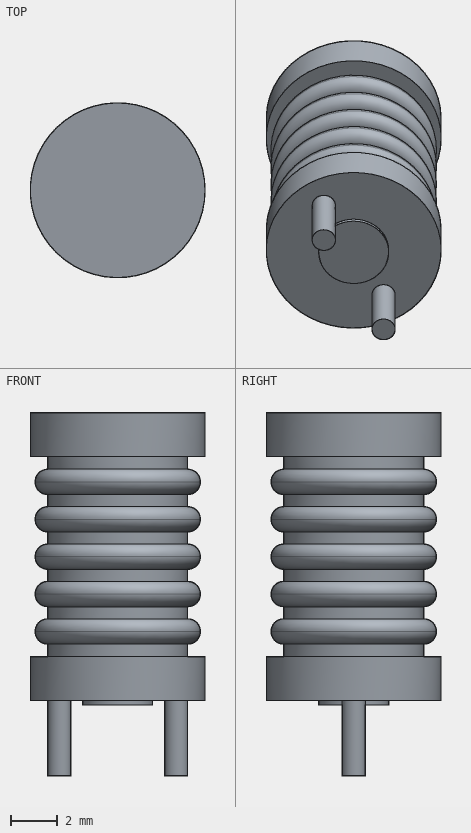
import cadquery as cq

total_height = 15.55
flange_diameter = 7.5
flange_thickness = 1.88
core_diameter = 6.0
pin_diameter = 1.0
pin_length = 3.22
pin_spacing = 5.0
standoff_diameter = 3.0
standoff_height = 0.19
turn_count = 5
turn_pitch = 1.6
wire_diameter = 1.09

base_z = pin_length
core_bottom_z = base_z + flange_thickness
core_top_z = total_height - flange_thickness
core_middle_z = (core_bottom_z + core_top_z) / 2


def cylinder(diameter, bottom_z, top_z, x=0):
    """Vertical cylinder between two heights."""
    return (
        cq.Workplane("XY", origin=(x, 0, bottom_z))
        .circle(diameter / 2)
        .extrude(top_z - bottom_z)
    )


def wire_turn(center_z):
    """Closed round ring whose wire is centred on the core surface."""
    ring = cq.Solid.makeTorus(core_diameter / 2, wire_diameter / 2)
    return cq.Workplane("XY").newObject([ring.translate(cq.Vector(0, 0, center_z))])


result = cylinder(core_diameter, base_z, total_height)
result = result.union(cylinder(flange_diameter, base_z, core_bottom_z))
result = result.union(cylinder(flange_diameter, core_top_z, total_height))

for turn in range(turn_count):
    offset = (turn - (turn_count - 1) / 2) * turn_pitch
    result = result.union(wire_turn(core_middle_z + offset))

result = result.union(cylinder(standoff_diameter, base_z - standoff_height, base_z))

for side in (-1, 1):
    result = result.union(cylinder(pin_diameter, 0, base_z, side * pin_spacing / 2))